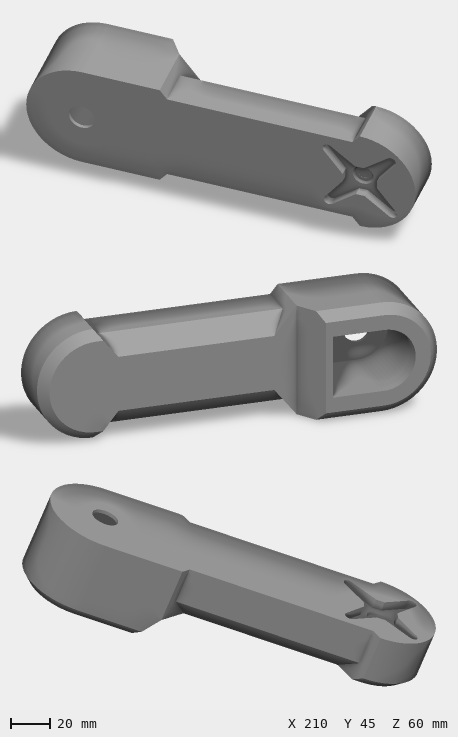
import cadquery as cq
import math

length = 210.0
end_radius = length / 7
head_thickness = 1.5 * end_radius
arm_thickness = end_radius
head_x = end_radius
boss_x = length - end_radius

arm_half_height = 25.0
arm_chamfer = 10.0
shoulder_slope = 0.8
shoulder_run = shoulder_slope * end_radius

head_end_x = 72.0
head_slant = 10.5
rim_chamfer = 5.0
pivot_diameter = 14.0
pivot_web = 1.9
cavity_radius = 16.8
cavity_end_x = 57.8

pocket_depth = 5.0
pocket_turn = 1.1
tip_distance = 24.2
tip_radius = 2.7
valley_distance = 9.2
valley_half_width = 2.3
hole_diameter = 11.3
hole_floor_diameter = 9.5
hole_depth = 1.3
inner_hole_diameter = 5.7
inner_hole_depth = 0.2


def front_plane(y=0.0):
    """XZ sketch plane at y whose extrusions run toward +Y."""
    return cq.Workplane("XZ", origin=(0, y, 0))


def make_arm():
    height = 2 * arm_half_height
    arm = front_plane().center((head_x + boss_x) / 2, 0).rect(boss_x - head_x, height)
    return arm.extrude(-arm_thickness).faces(">Y").edges("|X").chamfer(arm_chamfer)


def make_head():
    """Round-ended block with a pointed inner end and a sloped upper face."""
    block = (
        front_plane()
        .moveTo(head_x, end_radius)
        .lineTo(head_end_x, end_radius)
        .lineTo(head_end_x + shoulder_run, 0)
        .lineTo(head_end_x, -end_radius)
        .lineTo(head_x, -end_radius)
        .threePointArc((0, 0), (head_x, end_radius))
        .close()
        .extrude(-arm_thickness)
    )
    upper = (
        front_plane(arm_thickness)
        .moveTo(head_x, end_radius)
        .lineTo(head_end_x, end_radius)
        .lineTo(head_end_x, -end_radius)
        .lineTo(head_x, -end_radius)
        .threePointArc((0, 0), (head_x, end_radius))
        .close()
        .extrude(arm_thickness - head_thickness)
    )
    rim = upper.faces(">Y").edges("%CIRCLE or |X")
    upper = upper.newObject(rim.vals()).chamfer(rim_chamfer)
    slope_cut = (
        cq.Workplane("XY", origin=(0, 0, -end_radius))
        .moveTo(head_end_x, arm_thickness)
        .lineTo(head_end_x, head_thickness)
        .lineTo(head_end_x - head_slant, head_thickness)
        .close()
        .extrude(2 * end_radius)
    )
    return block.union(upper.cut(slope_cut))


def make_boss():
    """Chamfered round-ended block trimmed by the two shoulder faces."""
    block = (
        front_plane()
        .moveTo(boss_x - shoulder_run, end_radius)
        .lineTo(boss_x, end_radius)
        .threePointArc((length, 0), (boss_x, -end_radius))
        .lineTo(boss_x - shoulder_run, -end_radius)
        .close()
        .extrude(-arm_thickness)
    )
    rim = block.faces(">Y").edges("%CIRCLE or |X")
    block = block.newObject(rim.vals()).chamfer(rim_chamfer)
    keep = (
        front_plane()
        .moveTo(boss_x - shoulder_run, 0)
        .lineTo(boss_x, end_radius)
        .lineTo(length, end_radius)
        .lineTo(length, -end_radius)
        .lineTo(boss_x, -end_radius)
        .close()
        .extrude(-arm_thickness)
    )
    return block.intersect(keep)


def make_cavity():
    """Hollow behind the pivot web, open at the upper face of the head."""
    return (
        front_plane(pivot_web)
        .moveTo(head_x, cavity_radius)
        .lineTo(cavity_end_x, cavity_radius)
        .lineTo(cavity_end_x, -cavity_radius)
        .lineTo(head_x, -cavity_radius)
        .threePointArc((head_x - cavity_radius, 0), (head_x, cavity_radius))
        .close()
        .extrude(pivot_web - head_thickness)
    )


def turned(x, z, angle):
    """Point (x, z) turned by angle degrees about the pocket centre."""
    a = math.radians(angle)
    return (x * math.cos(a) - z * math.sin(a), x * math.sin(a) + z * math.cos(a))


def make_pocket():
    root_x, root_z = turned(valley_distance, valley_half_width, -45)
    root_z = abs(root_z)
    run = tip_distance - root_x
    reach = math.hypot(run, root_z)
    lean = math.atan2(root_z, run) - math.asin(tip_radius / reach)
    tangent_x = tip_distance + tip_radius * math.sin(lean)
    tangent_z = tip_radius * math.cos(lean)

    def limb_point(x, z, quarter):
        return turned(x, z, 45 + pocket_turn + 90 * quarter)

    outline = front_plane().center(boss_x, 0).moveTo(*limb_point(root_x, -root_z, 0))
    for quarter in range(4):
        if quarter:
            outline = outline.lineTo(*limb_point(root_x, -root_z, quarter))
        outline = outline.lineTo(*limb_point(tangent_x, -tangent_z, quarter))
        outline = outline.threePointArc(
            limb_point(tip_distance + tip_radius, 0, quarter),
            limb_point(tangent_x, tangent_z, quarter),
        )
        outline = outline.lineTo(*limb_point(root_x, root_z, quarter))
    return outline.close().extrude(-pocket_depth)


def make_hole(x, y, diameter, depth):
    return front_plane(y).center(x, 0).circle(diameter / 2).extrude(-depth)


def make_tapered_hole():
    taper = math.degrees(math.atan2((hole_diameter - hole_floor_diameter) / 2, hole_depth))
    sketch = front_plane(pocket_depth).center(boss_x, 0).circle(hole_diameter / 2)
    return sketch.extrude(-hole_depth, taper=taper)


result = make_arm().union(make_head()).union(make_boss())
result = result.cut(make_hole(head_x, 0, pivot_diameter, pivot_web))
result = result.cut(make_cavity())
result = result.cut(make_pocket())
result = result.cut(make_tapered_hole())
inner_hole_y = pocket_depth + hole_depth
result = result.cut(make_hole(boss_x, inner_hole_y, inner_hole_diameter, inner_hole_depth))